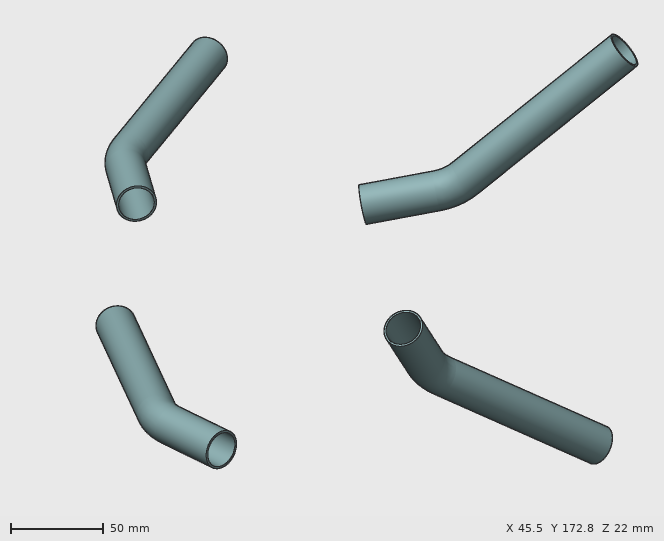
import cadquery as cq
import math

overall_length = 172.8
outer_diameter = 22.0
inner_diameter = 19.5
bend_angle = 30.0
bend_radius = 1.5 * outer_diameter
short_leg = 41.1

angle = math.radians(bend_angle)
bend_rise = bend_radius * math.sin(angle)
short_leg_rise = short_leg * math.cos(angle)
end_face_rise = outer_diameter / 2 * math.sin(angle)
long_leg = overall_length - bend_rise - short_leg_rise - end_face_rise


def bend_point(turn):
    """Point on the bend's centreline after turning by the given angle in radians."""
    return (bend_radius * (1 - math.cos(turn)), -bend_radius * math.sin(turn))


bend_end = bend_point(angle)
tube_end = (
    bend_end[0] + short_leg * math.sin(angle),
    bend_end[1] - short_leg_rise,
)

centreline = (
    cq.Workplane("XY")
    .moveTo(0, long_leg)
    .lineTo(0, 0)
    .threePointArc(bend_point(angle / 2), bend_end)
    .lineTo(*tube_end)
)

result = (
    cq.Workplane("XZ", origin=(0, long_leg, 0))
    .circle(outer_diameter / 2)
    .circle(inner_diameter / 2)
    .sweep(centreline)
)